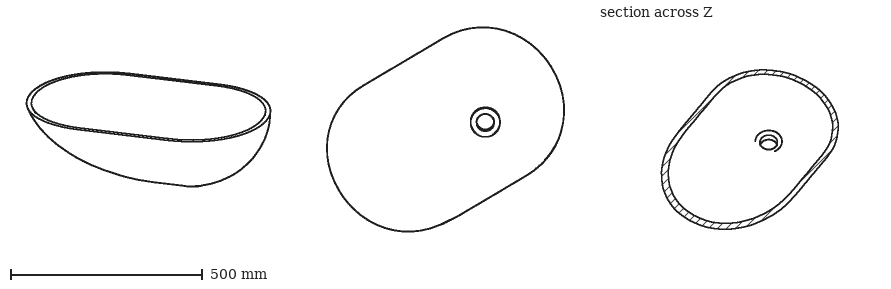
import cadquery as cq
import math

LENGTH = 645.0
WIDTH = 424.0
HEIGHT = 194.0
BOWL_DEPTH = 182.5
WALL = 13.0

FRONT_REACH = 201.0
BACK_REACH = LENGTH - FRONT_REACH
FRONT_FLOOR = FRONT_REACH - BOWL_DEPTH
SIDE_FLOOR = WIDTH / 2 - BOWL_DEPTH
BACK_FLOOR = 77.5
BACK_CENTRE_HEIGHT = 48.5

RIM_SHOULDER = 244.0
FLOOR_SHOULDER = 58.0

CORNER_FULLNESS = 0.57

SPIGOT_DIAMETER = 77.0
DRAIN_DIAMETER = 46.0
DRAIN_SEAT_DIAMETER = 69.5
DRAIN_SEAT_DEPTH = 4.0

SECTION_COUNT = 10


def outline(inset, angle):
    """Horizontal outline of the bowl; angle runs from 0 at the rim to 90 degrees at the floor."""
    depth = BOWL_DEPTH - inset
    z = -depth * math.sin(angle)
    side = SIDE_FLOOR + depth * math.cos(angle)
    front = FRONT_FLOOR + depth * math.cos(angle)

    ellipse_height = depth + BACK_CENTRE_HEIGHT
    rim_spread = math.sqrt(1 - (BACK_CENTRE_HEIGHT / ellipse_height) ** 2)
    spread = math.sqrt(max(0.0, 1 - ((BACK_CENTRE_HEIGHT - z) / ellipse_height) ** 2))
    back = BACK_FLOOR + (BACK_REACH - inset - BACK_FLOOR) * spread / rim_spread

    shoulder = RIM_SHOULDER + (FLOOR_SHOULDER - RIM_SHOULDER) * math.sin(angle)
    back_radius = back - shoulder

    def corner(centre_x, reach, y):
        """Quarter oval from the side wall at y to the tip of the end."""
        tip_x = centre_x + reach
        return cq.Edge.makeBezier([
            cq.Vector(centre_x, y, z),
            cq.Vector(centre_x + CORNER_FULLNESS * reach, y, z),
            cq.Vector(tip_x, CORNER_FULLNESS * y, z),
            cq.Vector(tip_x, 0, z),
        ])

    return cq.Wire.assembleEdges([
        corner(0, front, -side),
        corner(0, front, side),
        cq.Edge.makeLine(cq.Vector(0, side, z), cq.Vector(-shoulder, side, z)),
        corner(-shoulder, -back_radius, side),
        corner(-shoulder, -back_radius, -side),
        cq.Edge.makeLine(cq.Vector(-shoulder, -side, z), cq.Vector(0, -side, z)),
    ])


def bowl_body(inset):
    angles = [math.pi / 2 * i / (SECTION_COUNT - 1) for i in range(SECTION_COUNT)]
    return cq.Workplane(cq.Solid.makeLoft([outline(inset, angle) for angle in angles]))


def drain_cutter():
    """Through hole with a conical seat sunk into the basin floor."""
    floor_z = WALL - BOWL_DEPTH
    hole_radius = DRAIN_DIAMETER / 2
    seat_radius = DRAIN_SEAT_DIAMETER / 2
    profile = [
        (0, -HEIGHT),
        (hole_radius, -HEIGHT),
        (hole_radius, floor_z - DRAIN_SEAT_DEPTH),
        (seat_radius, floor_z),
        (seat_radius, 0),
        (0, 0),
    ]
    return cq.Workplane("XZ").polyline(profile).close().revolve(360, (0, 0, 0), (0, 1, 0))


floor_middle = -BOWL_DEPTH + WALL / 2
spigot = (
    cq.Workplane("XY")
    .workplane(offset=-HEIGHT)
    .circle(SPIGOT_DIAMETER / 2)
    .extrude(HEIGHT + floor_middle)
)

result = bowl_body(0).cut(bowl_body(WALL)).union(spigot).cut(drain_cutter())